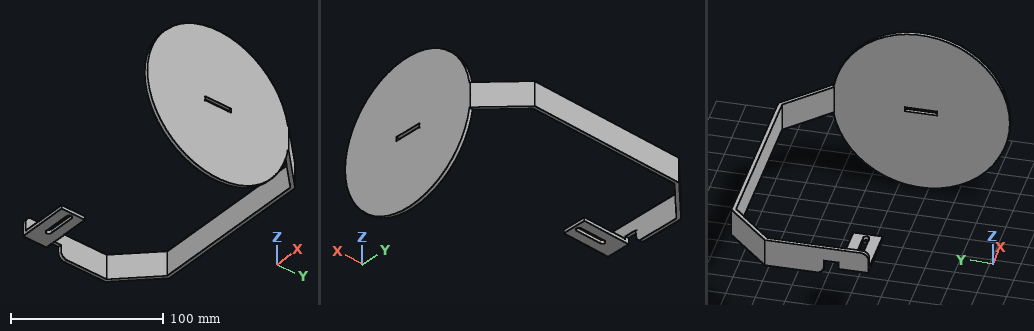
import cadquery as cq
import math

span = 190.0
thickness = 3.0
strip_height = 20.0
bend_setback = 30.0
arm_length = 100.0

disc_radius = 60.0
disc_center_y = -89.9
disc_slot_length = 22.0
disc_slot_width = 3.0

corner_radius = 5.0
notch_width = 10.0
notch_depth = strip_height / 2
tab_depth = 20.0
tab_reach = 40.0
tab_underside = 15.0

tab_slot_length = 25.0
tab_slot_width = 4.0
tab_slot_center_x = 25.0

strip_top = strip_height / 2
strip_bottom = -strip_top
arm_end_y = -arm_length
tab_back_y = arm_end_y + tab_depth
tab_bottom = strip_top - tab_underside
notch_back_y = tab_back_y + notch_width


def bent_strip():
    """Flat strip bent around two 45-degree corners, standing on edge."""
    bend_shift = thickness * math.tan(math.radians(22.5))
    inner_right = span - thickness
    inner_bend_y = -bend_setback - bend_shift
    inner_back_x = bend_setback + bend_shift
    outline = [
        (0, arm_end_y),
        (0, -bend_setback),
        (bend_setback, 0),
        (span - bend_setback, 0),
        (span, -bend_setback),
        (span, disc_center_y),
        (inner_right, disc_center_y),
        (inner_right, inner_bend_y),
        (span - inner_back_x, -thickness),
        (inner_back_x, -thickness),
        (thickness, inner_bend_y),
        (thickness, arm_end_y),
    ]
    return (
        cq.Workplane("XY")
        .workplane(offset=strip_bottom)
        .polyline(outline)
        .close()
        .extrude(strip_height)
    )


def arm_end_cut():
    """Material removed below the arm end: the notch and the step to the tab."""
    profile = [
        (notch_back_y, strip_bottom),
        (notch_back_y, strip_top - notch_depth),
        (tab_back_y, strip_top - notch_depth),
        (tab_back_y, tab_bottom),
        (arm_end_y, tab_bottom),
        (arm_end_y, strip_bottom),
    ]
    return cq.Workplane("YZ").polyline(profile).close().extrude(thickness)


def round_arm_corner(body, y, z):
    """Round the arm edge that runs along X through the given point."""
    corner = cq.selectors.NearestToPointSelector((thickness / 2, y, z))
    return body.edges(corner).fillet(corner_radius)


def tab():
    """Horizontal slotted tab pointing inward from the arm end."""
    plate = cq.Workplane("XY").box(
        tab_reach, tab_depth, thickness, centered=False
    ).translate((0, arm_end_y, tab_bottom))
    slot = (
        cq.Workplane("XY", origin=(tab_slot_center_x, disc_center_y, tab_bottom))
        .slot2D(tab_slot_length, tab_slot_width)
        .extrude(thickness)
    )
    return plate.cut(slot)


def disc():
    """Round plate on the far leg, flush with both strip faces."""
    return (
        cq.Workplane("YZ", origin=(span - thickness, disc_center_y, 0))
        .circle(disc_radius)
        .extrude(thickness)
    )


def disc_slot():
    """Horizontal rectangular slot through the middle of the disc."""
    return (
        cq.Workplane("YZ", origin=(span - thickness, disc_center_y, 0))
        .rect(disc_slot_length, disc_slot_width)
        .extrude(thickness)
    )


strip = bent_strip().cut(arm_end_cut())
strip = round_arm_corner(strip, arm_end_y, strip_top)
strip = round_arm_corner(strip, notch_back_y, strip_bottom)

result = strip.union(tab()).union(disc()).cut(disc_slot())